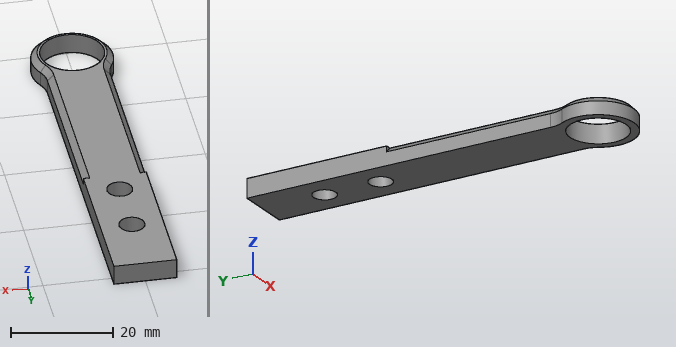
import cadquery as cq
import math

total_length = 84.3
thickness = 4.2
ring_diameter = 16.3
bar_width = 12.6
bore_diameter = 12.7
neck_radius = 6.3
bevel = 1.3

tang_length = 31.8
hole_diameter = 5.1
hole_spacing = 12.7
end_hole_inset = 14.0

ring_radius = ring_diameter / 2
half_width = bar_width / 2
bar_end_y = total_length - ring_radius
tang_start_y = bar_end_y - tang_length

neck_center_x = half_width + neck_radius
neck_center_distance = ring_radius + neck_radius
neck_center_y = math.sqrt(neck_center_distance**2 - neck_center_x**2)
ring_tangent_x = neck_center_x * ring_radius / neck_center_distance
ring_tangent_y = neck_center_y * ring_radius / neck_center_distance

neck_mid_angle = math.atan2(neck_center_y, neck_center_x) / 2
neck_mid_x = neck_center_x - neck_radius * math.cos(neck_mid_angle)
neck_mid_y = neck_center_y - neck_radius * math.sin(neck_mid_angle)


def make_beveled_shank():
    """Shank and ring, beveled along the top outline except where the tang joins."""
    shank = (
        cq.Workplane("XY")
        .moveTo(-half_width, tang_start_y)
        .lineTo(-half_width, neck_center_y)
        .threePointArc((-neck_mid_x, neck_mid_y), (-ring_tangent_x, ring_tangent_y))
        .threePointArc((0, -ring_radius), (ring_tangent_x, ring_tangent_y))
        .threePointArc((neck_mid_x, neck_mid_y), (half_width, neck_center_y))
        .lineTo(half_width, tang_start_y)
        .close()
        .extrude(thickness)
    )
    return shank.faces(">Z").edges("not(>Y)").chamfer(bevel)


def make_tang():
    """Plain rectangular end of the bar."""
    return (
        cq.Workplane("XY")
        .center(0, tang_start_y + tang_length / 2)
        .rect(bar_width, tang_length)
        .extrude(thickness)
    )


def make_through_holes():
    """Cutters for the ring bore and the two mounting holes."""
    end_hole_y = bar_end_y - end_hole_inset
    mounting_points = [(0, end_hole_y), (0, end_hole_y - hole_spacing)]
    bore = cq.Workplane("XY").circle(bore_diameter / 2).extrude(thickness)
    mounting_holes = (
        cq.Workplane("XY")
        .pushPoints(mounting_points)
        .circle(hole_diameter / 2)
        .extrude(thickness)
    )
    return bore.union(mounting_holes)


result = make_beveled_shank().union(make_tang()).cut(make_through_holes())